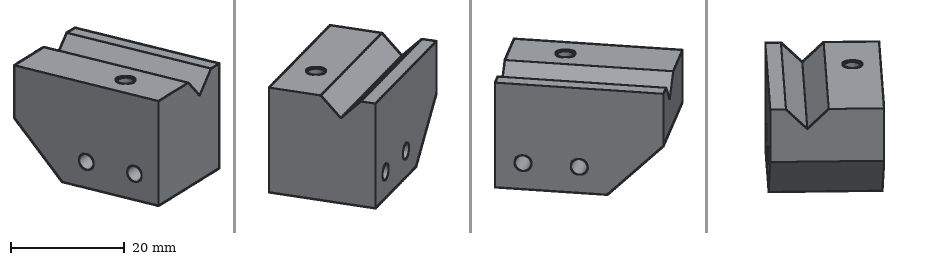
import cadquery as cq

LENGTH = 30.0
WIDTH = 20.0
HEIGHT = 20.0
CORNER_CUT = 10.0

GROOVE_Y = 13.5
GROOVE_DEPTH = 3.75
GROOVE_HALF_WIDTH = GROOVE_DEPTH

HOLE_DIAMETER = 3.0
CROSS_HOLE_X = (15.0, 25.0)
CROSS_HOLE_Z = 5.0
VERTICAL_HOLE_X = sum(CROSS_HOLE_X) / len(CROSS_HOLE_X)
VERTICAL_HOLE_Y = 5.0
COUNTERSINK_DIAMETER = 3.5
COUNTERSINK_ANGLE = 90.0


def make_block():
    """Rectangular block with its lower -X edge cut away."""
    profile = [
        (CORNER_CUT, 0),
        (LENGTH, 0),
        (LENGTH, HEIGHT),
        (0, HEIGHT),
        (0, CORNER_CUT),
    ]
    return cq.Workplane("XZ").polyline(profile).close().extrude(-WIDTH)


def make_groove():
    """Triangular prism that cuts the full-length V-groove."""
    profile = [
        (GROOVE_Y - GROOVE_HALF_WIDTH, HEIGHT),
        (GROOVE_Y, HEIGHT - GROOVE_DEPTH),
        (GROOVE_Y + GROOVE_HALF_WIDTH, HEIGHT),
    ]
    return cq.Workplane("YZ").polyline(profile).close().extrude(LENGTH)


def make_cross_holes():
    """Plain holes running through the block along Y."""
    centres = [(x, CROSS_HOLE_Z) for x in CROSS_HOLE_X]
    return cq.Workplane("XZ").pushPoints(centres).circle(HOLE_DIAMETER / 2).extrude(-WIDTH)


def drill_vertical_hole(body):
    """Through hole along Z, countersunk at the top face."""
    return (
        body.faces(">Z")
        .workplane(origin=(VERTICAL_HOLE_X, VERTICAL_HOLE_Y, HEIGHT))
        .cskHole(HOLE_DIAMETER, COUNTERSINK_DIAMETER, COUNTERSINK_ANGLE)
    )


block = make_block().cut(make_groove()).cut(make_cross_holes())
result = drill_vertical_hole(block)